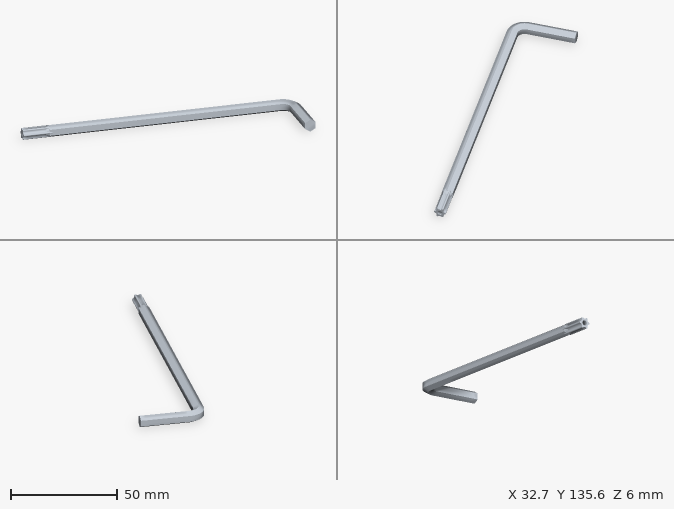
import cadquery as cq
import math

TOTAL_LENGTH = 135.6
TOTAL_WIDTH = 32.7

HEX_CORNERS = 6.0
HEX_FLATS = HEX_CORNERS * math.sqrt(3) / 2
BEND_RADIUS = 6.1

STAR_DIAMETER = 5.7
STAR_EXPOSED = 12.9
STAR_SEATED = 1.2
LOBES = 6
LOBE_PITCH = 2 * math.pi / LOBES
GROOVE_DIAMETER = 2.5
GROOVE_FLOOR_RADIUS = 2.0
HOLE_DIAMETER = 2.5
HOLE_DEPTH = 4.1

NOSE_LENGTH = 2.0
NOSE_BASE_RADIUS = 2.7

BAR_END = STAR_EXPOSED
SHORT_ARM_Y = TOTAL_LENGTH - HEX_FLATS / 2
SHORT_ARM_END = TOTAL_WIDTH - STAR_DIAMETER / 2

STAR_RADIUS = STAR_DIAMETER / 2
GROOVE_RADIUS = GROOVE_DIAMETER / 2
GROOVE_CENTRE = GROOVE_FLOOR_RADIUS + GROOVE_RADIUS
HALF_PITCH_COS = math.cos(LOBE_PITCH / 2)
LOBE_RADIUS = (
    GROOVE_CENTRE**2 + STAR_RADIUS**2 - GROOVE_RADIUS**2 - 2 * GROOVE_CENTRE * STAR_RADIUS * HALF_PITCH_COS
) / (2 * (GROOVE_RADIUS + STAR_RADIUS - GROOVE_CENTRE * HALF_PITCH_COS))
LOBE_CENTRE = STAR_RADIUS - LOBE_RADIUS


def across_arm(y):
    """Workplane across the long arm: local x is +Z, local y is +X, normal is +Y."""
    return cq.Workplane(cq.Plane(origin=(0, y, 0), xDir=(0, 0, 1), normal=(0, 1, 0)))


def polar(radius, angle):
    return (radius * math.cos(angle), radius * math.sin(angle))


def tangent_polar():
    """Radius and angle, from the lobe axis, of the point where lobe meets groove."""
    groove_x, groove_y = polar(GROOVE_CENTRE, LOBE_PITCH / 2)
    share = LOBE_RADIUS / (LOBE_RADIUS + GROOVE_RADIUS)
    x = LOBE_CENTRE + share * (groove_x - LOBE_CENTRE)
    y = share * groove_y
    return math.hypot(x, y), math.atan2(y, x)


def make_star():
    """Solid six-lobed star, with two lobes along X and grooves facing +Z and -Z."""
    meet_radius, meet_angle = tangent_polar()
    first_lobe = LOBE_PITCH / 2
    profile = across_arm(0).moveTo(*polar(meet_radius, first_lobe - meet_angle))
    for index in range(LOBES):
        lobe = first_lobe + index * LOBE_PITCH
        groove = lobe + LOBE_PITCH / 2
        next_lobe = lobe + LOBE_PITCH
        profile = profile.threePointArc(
            polar(STAR_RADIUS, lobe), polar(meet_radius, lobe + meet_angle)
        )
        profile = profile.threePointArc(
            polar(GROOVE_FLOOR_RADIUS, groove), polar(meet_radius, next_lobe - meet_angle)
        )
    return profile.close().extrude(STAR_EXPOSED + STAR_SEATED)


def make_bar():
    """Hexagonal bar bent through a right angle, with corners along Z."""
    bend_offset = BEND_RADIUS * (1 - math.sqrt(0.5))
    path = (
        cq.Workplane("XY")
        .moveTo(0, BAR_END)
        .lineTo(0, SHORT_ARM_Y - BEND_RADIUS)
        .threePointArc((bend_offset, SHORT_ARM_Y - bend_offset), (BEND_RADIUS, SHORT_ARM_Y))
        .lineTo(SHORT_ARM_END, SHORT_ARM_Y)
    )
    return across_arm(BAR_END).polygon(6, HEX_CORNERS).sweep(path)


def make_nose():
    """Cone that narrows to the groove floors in front of the bar end."""
    return (
        cq.Workplane("XY")
        .moveTo(0, BAR_END)
        .lineTo(NOSE_BASE_RADIUS, BAR_END)
        .lineTo(GROOVE_FLOOR_RADIUS, BAR_END - NOSE_LENGTH)
        .lineTo(0, BAR_END - NOSE_LENGTH)
        .close()
        .revolve(360, (0, 0), (0, 1))
    )


def make_key():
    """Bar and nose with the star-shaped seat for the tip."""
    return make_bar().union(make_nose()).cut(make_star())


def make_tip():
    """Star with a blind hole in its free end."""
    hole = across_arm(0).circle(HOLE_DIAMETER / 2).extrude(HOLE_DEPTH)
    return make_star().cut(hole)


key = make_key()
tip = make_tip()

result = cq.Compound.makeCompound([key.val(), tip.val()])